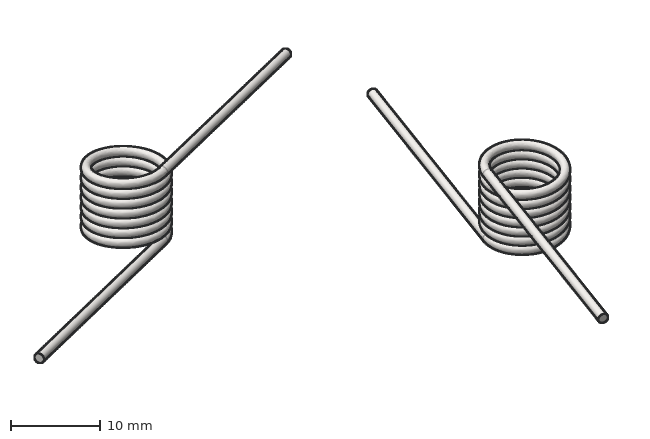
import cadquery as cq

wire_diameter = 1.2
coil_outer_diameter = 10.25
overall_length = 63.6
overall_height = 9.85
turns = 7

wire_radius = wire_diameter / 2
coil_radius = (coil_outer_diameter - wire_diameter) / 2
coil_rise = overall_height - wire_diameter
pitch = coil_rise / turns
leg_length = overall_length / 2


def wire_section(height):
    """Round wire section facing along Y, on the +X side of the coil."""
    return cq.Workplane("XZ").center(coil_radius, height).circle(wire_radius)


def make_coil():
    """Sweep the wire section up a helix that starts and ends on the +X side."""
    helix = cq.Wire.makeHelix(pitch, coil_rise, coil_radius)
    return wire_section(0).sweep(cq.Workplane(helix), isFrenet=True)


lower_leg = wire_section(0).extrude(leg_length)
upper_leg = wire_section(coil_rise).extrude(-leg_length)

result = make_coil().union(lower_leg).union(upper_leg)